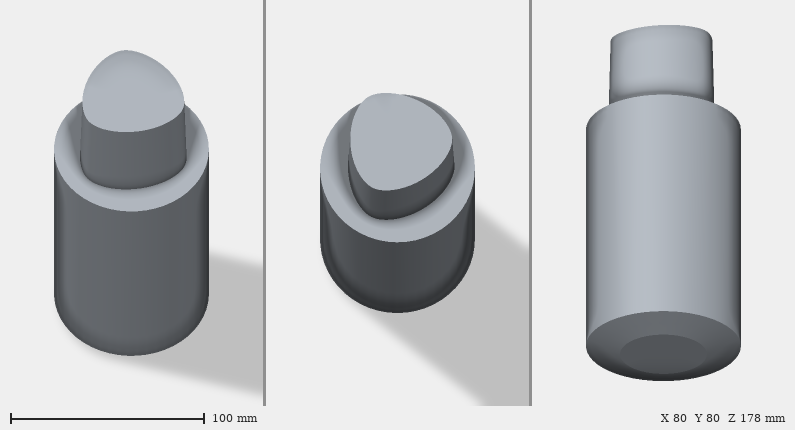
import cadquery as cq
import math

total_height = 178.0
body_diameter = 80.0
shank_height = 48.0

end_flat_diameter = 44.9
end_cone_angle = 15.0
end_cone_height = (body_diameter - end_flat_diameter) / 2 * math.tan(math.radians(end_cone_angle))

shank_base_diameter = 55.0
shank_taper = 1 / 20
shank_top_diameter = shank_base_diameter - shank_height * shank_taper
lobe_eccentricity = 2.0
outline_points = 72
lobe_direction = math.radians(-90)

shoulder_z = total_height - shank_height


def lobed_outline(mean_diameter):
    """Return points around a closed trilobe curve with one lobe towards -Y."""
    radius = mean_diameter / 2

    def point(angle):
        u = radius * math.cos(angle) + lobe_eccentricity * (2 * math.cos(2 * angle) - math.cos(4 * angle))
        v = radius * math.sin(angle) - lobe_eccentricity * (2 * math.sin(2 * angle) + math.sin(4 * angle))
        x = u * math.cos(lobe_direction) - v * math.sin(lobe_direction)
        y = u * math.sin(lobe_direction) + v * math.cos(lobe_direction)
        return x, y

    return [point(2 * math.pi * i / outline_points) for i in range(outline_points)]


def make_body():
    """Revolve the round body together with its conical lower end."""
    return (
        cq.Workplane("XZ")
        .polyline([
            (0, 0),
            (end_flat_diameter / 2, 0),
            (body_diameter / 2, end_cone_height),
            (body_diameter / 2, shoulder_z),
            (0, shoulder_z),
        ])
        .close()
        .revolve(360, (0, 0), (0, 1))
    )


def make_shank():
    """Loft the tapered shank between its base and top outlines."""
    return (
        cq.Workplane("XY")
        .workplane(offset=shoulder_z)
        .spline(lobed_outline(shank_base_diameter), periodic=True)
        .close()
        .workplane(offset=shank_height)
        .spline(lobed_outline(shank_top_diameter), periodic=True)
        .close()
        .loft(ruled=True)
    )


result = make_body().union(make_shank())